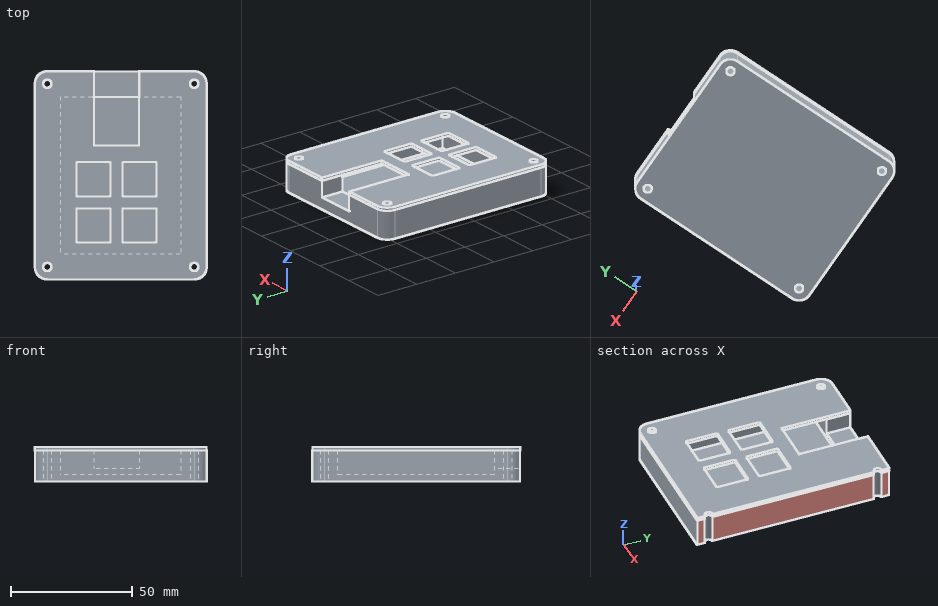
import cadquery as cq

OVERALL_WIDTH = 71.1
OVERALL_LENGTH = 86.1
HEIGHT = 14.4

LID_SHIFT_X = -0.1
LID_SHIFT_Y = 0.1

WIDTH = OVERALL_WIDTH - abs(LID_SHIFT_X)
LENGTH = OVERALL_LENGTH - abs(LID_SHIFT_Y)
CORNER_RADIUS = 5.2

CASE_HEIGHT = 12.9
LID_GAP = 0.1
LID_BOTTOM_Z = CASE_HEIGHT + LID_GAP
LID_THICKNESS = HEIGHT - LID_BOTTOM_Z
WALL = 10.6
FLOOR_THICKNESS = 3.0

SCREW_DIAMETER = 3.4
SCREW_SPAN_X = WIDTH - 2 * CORNER_RADIUS
SCREW_SPAN_Y = LENGTH - 2 * CORNER_RADIUS

OPENING_X = -1.7

SLOT_WIDTH = 18.7
SLOT_LENGTH = 30.8
SLOT_FLOOR_Z = 5.5

KEY_SIZE = 14.1
KEY_RADIUS = 0.5
KEY_PITCH = 19.0
KEY_CENTER_Y = -11.2


def rounded_plate(bottom_z, thickness):
    """Plate with the full outline and a screw hole in each corner."""
    return (
        cq.Workplane("XY", origin=(0, 0, bottom_z))
        .rect(WIDTH, LENGTH)
        .extrude(thickness)
        .edges("|Z")
        .fillet(CORNER_RADIUS)
        .faces(">Z")
        .workplane(origin=(0, 0, 0))
        .rect(SCREW_SPAN_X, SCREW_SPAN_Y, forConstruction=True)
        .vertices()
        .hole(SCREW_DIAMETER)
    )


def end_slot(length, bottom_z):
    """Cutter for the connector slot, running in from the +Y end up to the top of the part."""
    return (
        cq.Workplane("XY", origin=(OPENING_X, LENGTH / 2 - length / 2, bottom_z))
        .rect(SLOT_WIDTH, length)
        .extrude(HEIGHT - bottom_z)
    )


def key_openings():
    """Cutters for the four key openings."""
    return (
        cq.Workplane("XY", origin=(OPENING_X, KEY_CENTER_Y, LID_BOTTOM_Z))
        .rarray(KEY_PITCH, KEY_PITCH, 2, 2)
        .rect(KEY_SIZE, KEY_SIZE)
        .extrude(LID_THICKNESS)
        .edges("|Z")
        .fillet(KEY_RADIUS)
    )


def make_case():
    """Open-topped case with a thick wall, notched at the +Y end."""
    cavity = (
        cq.Workplane("XY", origin=(0, 0, FLOOR_THICKNESS))
        .rect(WIDTH - 2 * WALL, LENGTH - 2 * WALL)
        .extrude(CASE_HEIGHT - FLOOR_THICKNESS)
    )
    return rounded_plate(0, CASE_HEIGHT).cut(cavity).cut(end_slot(WALL, SLOT_FLOOR_Z))


def make_lid():
    """Flat lid just above the case, with the connector slot and the key openings."""
    lid = rounded_plate(LID_BOTTOM_Z, LID_THICKNESS)
    lid = lid.cut(end_slot(SLOT_LENGTH, LID_BOTTOM_Z)).cut(key_openings())
    return lid.translate((LID_SHIFT_X, LID_SHIFT_Y, 0))


case = make_case()
lid = make_lid()

result = cq.Compound.makeCompound([case.solids().val(), lid.solids().val()])